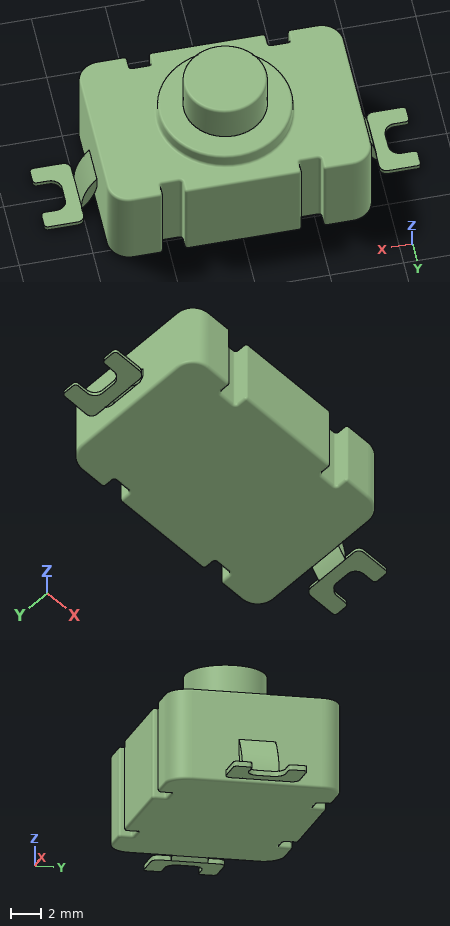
import cadquery as cq

HOUSING_LENGTH = 17.9
HOUSING_WIDTH = 11.9
HOUSING_HEIGHT = 6.3
HOUSING_CORNER_RADIUS = 1.5
EDGE_RADIUS = 0.2

NOTCH_OFFSET = 4.7
NOTCH_WIDTH = 1.5
NOTCH_DEPTH = 1.0

COLLAR_DIAMETER = 9.0
COLLAR_TOP = 7.3
BUTTON_DIAMETER = 5.6
BUTTON_TOP = 10.0

OVERALL_LENGTH = 25.5
TERMINAL_THICKNESS = 0.35
FOOT_LENGTH = 2.75
FOOT_WIDTH = 5.0
FOOT_CORNER_RADIUS = 0.5
FOOT_TIP_RADIUS = 0.25
FORK_DEPTH = 1.8
FORK_CORNER_RADIUS = 0.75
NECK_WIDTH = 2.5
NECK_UPPER_END = 3.0
NECK_LOWER_END = 2.2
NECK_UPPER_BULGE = 0.25
NECK_LOWER_BULGE = 0.18

WALL_X = HOUSING_LENGTH / 2
FOOT_TIP_X = OVERALL_LENGTH / 2
FOOT_HEEL_X = FOOT_TIP_X - FOOT_LENGTH


def make_housing_block():
    """Rounded block with four side notches and softened edges."""
    block = (
        cq.Workplane("XY")
        .rect(HOUSING_LENGTH, HOUSING_WIDTH)
        .extrude(HOUSING_HEIGHT)
        .edges("|Z")
        .fillet(HOUSING_CORNER_RADIUS)
    )
    notch_centers = [
        (side_x * NOTCH_OFFSET, side_y * HOUSING_WIDTH / 2)
        for side_x in (-1, 1)
        for side_y in (-1, 1)
    ]
    notches = (
        cq.Workplane("XY")
        .pushPoints(notch_centers)
        .rect(NOTCH_WIDTH, 2 * NOTCH_DEPTH)
        .extrude(HOUSING_HEIGHT)
    )
    notch_zone = cq.selectors.BoxSelector(
        (-NOTCH_OFFSET - NOTCH_WIDTH, -HOUSING_WIDTH, 0),
        (NOTCH_OFFSET + NOTCH_WIDTH, HOUSING_WIDTH, HOUSING_HEIGHT),
    )
    block = block.cut(notches)
    block = block.edges("|Z").edges(notch_zone).fillet(EDGE_RADIUS)
    return block.faces("<Z or >Z").edges().fillet(EDGE_RADIUS)


def make_button_stack():
    """Collar with a flared base and the button above it, turned as one profile."""
    collar_radius = COLLAR_DIAMETER / 2
    button_radius = BUTTON_DIAMETER / 2
    stack = (
        cq.Workplane("XZ")
        .moveTo(0, HOUSING_HEIGHT)
        .lineTo(collar_radius + EDGE_RADIUS, HOUSING_HEIGHT)
        .radiusArc((collar_radius, HOUSING_HEIGHT + EDGE_RADIUS), EDGE_RADIUS)
        .lineTo(collar_radius, COLLAR_TOP - EDGE_RADIUS)
        .radiusArc((collar_radius - EDGE_RADIUS, COLLAR_TOP), -EDGE_RADIUS)
        .lineTo(button_radius, COLLAR_TOP)
        .lineTo(button_radius, BUTTON_TOP - EDGE_RADIUS)
        .radiusArc((button_radius - EDGE_RADIUS, BUTTON_TOP), -EDGE_RADIUS)
        .lineTo(0, BUTTON_TOP)
        .close()
    )
    return stack.revolve(360, (0, 0, 0), (0, 1, 0))


def make_foot():
    """Flat forked foot on the +X side, open toward its tip."""
    foot = (
        cq.Workplane("XY", origin=(FOOT_HEEL_X + FOOT_LENGTH / 2, 0, 0))
        .rect(FOOT_LENGTH, FOOT_WIDTH)
        .extrude(TERMINAL_THICKNESS)
        .edges("|Z and <X")
        .fillet(FOOT_CORNER_RADIUS)
    )
    fork_gap = (
        cq.Workplane("XY", origin=(FOOT_TIP_X, 0, 0))
        .rect(2 * FORK_DEPTH, NECK_WIDTH)
        .extrude(TERMINAL_THICKNESS)
        .edges("|Z and <X")
        .fillet(FORK_CORNER_RADIUS)
    )
    return foot.cut(fork_gap).edges("|Z and >X").fillet(FOOT_TIP_RADIUS)


def make_neck():
    """Lens-shaped strip rising from the foot heel to the housing wall."""
    return (
        cq.Workplane("XZ")
        .moveTo(FOOT_HEEL_X, 0)
        .sagittaArc((WALL_X, NECK_LOWER_END), NECK_LOWER_BULGE)
        .lineTo(WALL_X, NECK_UPPER_END)
        .sagittaArc((FOOT_HEEL_X, TERMINAL_THICKNESS), NECK_UPPER_BULGE)
        .close()
        .extrude(NECK_WIDTH / 2, both=True)
    )


def make_terminal(turn):
    """Terminal turned about Z by the given angle in degrees."""
    return make_foot().union(make_neck()).rotate((0, 0, 0), (0, 0, 1), turn)


housing = make_housing_block().union(make_button_stack())
terminals = [make_terminal(turn) for turn in (0, 180)]

result = cq.Compound.makeCompound([housing.val(), *[terminal.val() for terminal in terminals]])